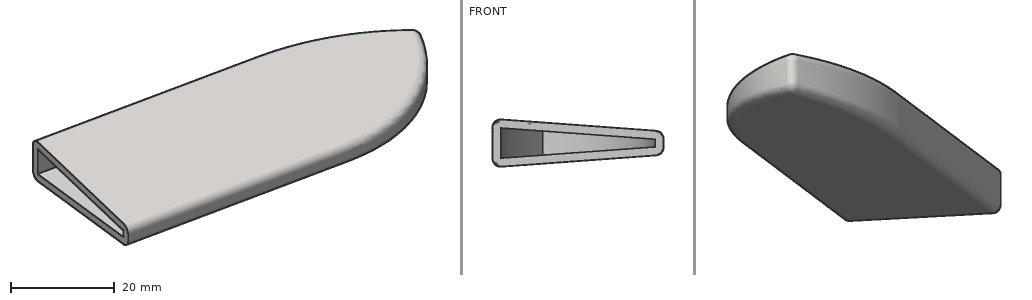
import cadquery as cq
import math

length = 83.2
width = 33.0
wall = 1.7
edge_radius = wall
sharp_thick_height = 9.4
sharp_thin_height = 4.6
inner_tip_x = 9.7

large_radius = width
inner_tip_rise = math.sqrt((large_radius - wall) ** 2 - inner_tip_x ** 2)
shoulder_y = length - wall - inner_tip_rise

inner_tip_inset = inner_tip_x - wall
thick_side_radius = wall + (inner_tip_inset ** 2 + inner_tip_rise ** 2) / (2 * inner_tip_inset)

face_slope = (sharp_thick_height - sharp_thin_height) / 2 / width
vertical_wall = wall * math.hypot(1, face_slope)


def arc_point(center_x, radius, angle):
    return (center_x + radius * math.cos(angle), shoulder_y + radius * math.sin(angle))


def pointed_blade(inset):
    """Sharp-edged tapered blade, with all faces but the open end moved in by the inset."""
    thick_arc = thick_side_radius - inset
    large_arc = large_radius - inset
    tip_x = (large_arc ** 2 - thick_arc ** 2 + thick_side_radius ** 2) / (2 * thick_side_radius)
    tip_rise = math.sqrt(large_arc ** 2 - tip_x ** 2)
    tip = (tip_x, shoulder_y + tip_rise)
    large_angle = math.atan2(tip_rise, tip_x)
    thick_angle = math.atan2(tip_rise, tip_x - thick_side_radius)

    outline = (
        cq.Workplane("XY").workplane(offset=-sharp_thick_height)
        .moveTo(inset, 0)
        .lineTo(width - inset, 0)
        .lineTo(width - inset, shoulder_y)
        .threePointArc(arc_point(0, large_arc, large_angle / 2), tip)
        .threePointArc(
            arc_point(thick_side_radius, thick_arc, (thick_angle + math.pi) / 2),
            (inset, shoulder_y),
        )
        .close()
        .extrude(2 * sharp_thick_height)
    )

    drop = inset / wall * vertical_wall
    thick_half = sharp_thick_height / 2 - drop
    thin_half = sharp_thin_height / 2 - drop
    wedge = (
        cq.Workplane("XZ")
        .polyline([(0, -thick_half), (width, -thin_half), (width, thin_half), (0, thick_half)])
        .close()
        .extrude(-2 * length)
    )
    return outline.intersect(wedge)


open_end = cq.selectors.BoxSelector(
    (-width, -wall, -sharp_thick_height), (2 * width, wall, sharp_thick_height)
)
shoulder_seams = cq.selectors.BoxSelector(
    (-width, shoulder_y - wall / 2, -wall / 2), (2 * width, shoulder_y + wall / 2, wall / 2)
)
outer = pointed_blade(0)
outer = outer.edges(cq.selectors.SubtractSelector(
    cq.selectors.SubtractSelector(cq.Selector(), open_end), shoulder_seams
)).fillet(edge_radius)

result = outer.cut(pointed_blade(wall))